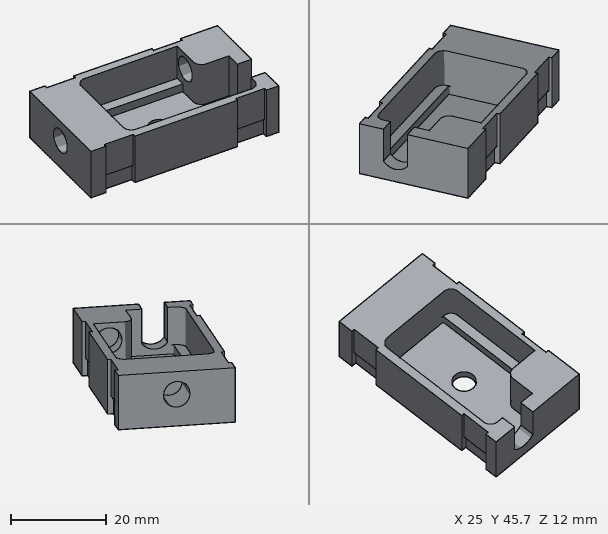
import cadquery as cq

WIDTH = 25.0
LENGTH = 45.7
HEIGHT = 12.0
FRONT_Y = -LENGTH / 2
BACK_Y = LENGTH / 2

POCKET_WIDTH = 21.0
FRONT_WALL = 10.2
BACK_WALL = 3.5
CORNER_RADIUS = 2.0
LEDGE_Z = 3.7
BLOCK_RIGHT_X = -2.0
BLOCK_LENGTH = 7.5
POCKET_FRONT_Y = FRONT_Y + FRONT_WALL
POCKET_BACK_Y = BACK_Y - BACK_WALL
BLOCK_FRONT_Y = POCKET_BACK_Y - BLOCK_LENGTH

FLOOR_Z = 1.7
FLOOR_WIDTH = 16.4
FLOOR_CORNER_RADIUS = 0.4

SLOT_WIDTH = 5.5
SLOT_X = 4.2
SLOT_BOTTOM_DIAMETER = 7.0
SLOT_AXIS_Z = 6.5

FLOOR_HOLE_DIAMETER = 5.1
FLOOR_HOLE_Y = 1.4
FRONT_HOLE_DIAMETER = 5.6
FRONT_HOLE_Z = 7.0
FRONT_HOLE_DEPTH = 8.0
BLOCK_HOLE_DIAMETER = 5.6
BLOCK_HOLE_X = -7.2
BLOCK_HOLE_Z = 8.1
BLOCK_HOLE_DEPTH = 3.5

NOTCH_LENGTH = 7.0
NOTCH_DEPTH = 0.7
NOTCH_LOWER_DEPTH = 1.2
NOTCH_STEP_Z = 4.0
FRONT_NOTCH_Y = FRONT_Y + 3.7
LEFT_BACK_NOTCH_Y = BACK_Y - 16.0
RIGHT_BACK_NOTCH_Y = BACK_Y - 10.0


def box_between(x_range, y_range, z_range):
    """Axis-aligned box spanning the three given (low, high) ranges."""
    sizes = [high - low for low, high in (x_range, y_range, z_range)]
    corner = (x_range[0], y_range[0], z_range[0])
    return cq.Workplane("XY").box(*sizes, centered=False).translate(corner)


def cylinder_along_y(diameter, x, z, y_start, y_end):
    """Cylinder parallel to Y between two Y positions."""
    axis = cq.Vector(0, 1, 0)
    solid = cq.Solid.makeCylinder(diameter / 2, y_end - y_start, cq.Vector(x, y_start, z), axis)
    return cq.Workplane(obj=solid)


def pocket():
    """Upper pocket down to the ledges plus the narrower recess down to the floor."""
    pocket_y = (POCKET_FRONT_Y, POCKET_BACK_Y)
    half_width = POCKET_WIDTH / 2
    upper = box_between((-half_width, half_width), pocket_y, (LEDGE_Z, HEIGHT))
    upper = upper.edges("|Z").fillet(CORNER_RADIUS)
    lower = box_between((-FLOOR_WIDTH / 2, FLOOR_WIDTH / 2), pocket_y, (FLOOR_Z, HEIGHT))
    lower = lower.edges("|Z").fillet(FLOOR_CORNER_RADIUS)
    block = box_between((-WIDTH / 2, BLOCK_RIGHT_X), (BLOCK_FRONT_Y, BACK_Y), (0, HEIGHT))
    block = block.edges("|Z and >X and <Y").fillet(CORNER_RADIUS)
    return upper.union(lower).cut(block)


def back_slot():
    """Slot through the back wall with an arc-shaped bottom."""
    half_width = SLOT_WIDTH / 2
    slot_x = (SLOT_X - half_width, SLOT_X + half_width)
    wall_y = (POCKET_BACK_Y, BACK_Y)
    bottom = cylinder_along_y(SLOT_BOTTOM_DIAMETER, SLOT_X, SLOT_AXIS_Z, *wall_y)
    bottom = bottom.intersect(box_between(slot_x, wall_y, (0, HEIGHT)))
    return bottom.union(box_between(slot_x, wall_y, (SLOT_AXIS_Z, HEIGHT)))


def side_notch(side, y_start):
    """Full-height notch on one side (-1 left, +1 right), deeper below the step."""
    y_range = (y_start, y_start + NOTCH_LENGTH)

    def cut_to(depth, top_z):
        x_range = sorted((side * WIDTH / 2, side * (WIDTH / 2 - depth)))
        return box_between(x_range, y_range, (0, top_z))

    return cut_to(NOTCH_DEPTH, HEIGHT).union(cut_to(NOTCH_LOWER_DEPTH, NOTCH_STEP_Z))


def front_hole():
    """Blind hole in the middle of the front face."""
    end_y = FRONT_Y + FRONT_HOLE_DEPTH
    return cylinder_along_y(FRONT_HOLE_DIAMETER, 0, FRONT_HOLE_Z, FRONT_Y, end_y)


def block_hole():
    """Blind hole in the pocket face of the corner block."""
    end_y = BLOCK_FRONT_Y + BLOCK_HOLE_DEPTH
    return cylinder_along_y(BLOCK_HOLE_DIAMETER, BLOCK_HOLE_X, BLOCK_HOLE_Z, BLOCK_FRONT_Y, end_y)


def floor_hole():
    """Vertical hole through the pocket floor."""
    hole = cq.Workplane("XY").center(0, FLOOR_HOLE_Y).circle(FLOOR_HOLE_DIAMETER / 2)
    return hole.extrude(HEIGHT)


body = box_between((-WIDTH / 2, WIDTH / 2), (FRONT_Y, BACK_Y), (0, HEIGHT))
body = body.cut(pocket()).cut(back_slot()).cut(floor_hole())
body = body.cut(front_hole()).cut(block_hole())

for side, back_notch_y in ((-1, LEFT_BACK_NOTCH_Y), (1, RIGHT_BACK_NOTCH_Y)):
    for notch_y in (FRONT_NOTCH_Y, back_notch_y):
        body = body.cut(side_notch(side, notch_y))

result = body